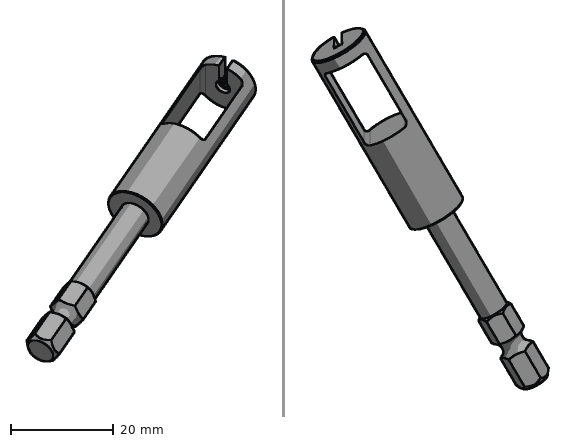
import cadquery as cq
import math

total_length = 80.0
head_length = 40.0
shank_length = 23.0
hex_length = total_length - head_length - shank_length
front_y = total_length / 2
back_y = -total_length / 2
head_back_y = front_y - head_length
hex_front_y = back_y + hex_length

head_diameter = 12.0
head_front_chamfer = 0.3
head_back_chamfer = 0.2
end_wall = 2.8
window_width = 9.4
window_length = 17.2
window_corner_radius = 0.8

slot_width = 1.8
recess_diameter = 3.0
recess_depth = 1.0
pin_hole_diameter = 1.9

shank_diameter = 6.0
hex_across_flats = 6.3
hex_corner_diameter = hex_across_flats / math.cos(math.pi / 6)
hex_front_chamfer_length = 0.6
hex_tip_diameter = 5.6
hex_tip_length = 1.1

groove_y = back_y + 9.3
groove_bottom_diameter = 4.6
groove_radius = 1.9


def cylinder(diameter, start_y, length):
    """Cylinder on the Y axis running from start_y toward +Y."""
    return cq.Workplane("XZ", origin=(0, start_y, 0)).circle(diameter / 2).extrude(-length)


def make_head():
    head = cylinder(head_diameter, head_back_y, head_length)
    head = head.faces(">Y").chamfer(head_front_chamfer).faces("<Y").chamfer(head_back_chamfer)
    window_center_y = front_y - end_wall - window_length / 2
    window = (
        cq.Workplane("XY", origin=(0, window_center_y, 0))
        .rect(window_width, window_length)
        .extrude(head_diameter / 2, both=True)
        .edges("|Z")
        .fillet(window_corner_radius)
    )
    return head.cut(window)


def make_keyhole():
    """Flat-bottomed slot open at the top, with a pin hole on the axis and a wider recess inside."""
    wall_inner_y = front_y - end_wall
    slot_floor_z = -slot_width / 2
    slot_height = head_diameter / 2 - slot_floor_z
    slot = cq.Workplane("XY", origin=(0, wall_inner_y, slot_floor_z)).box(
        slot_width, end_wall, slot_height, centered=(True, False, False)
    )
    pin_hole = cylinder(pin_hole_diameter, wall_inner_y, end_wall)
    recess = cylinder(recess_diameter, wall_inner_y, recess_depth)
    return slot.union(pin_hole).union(recess)


def make_hex_drive():
    hexagon = cq.Workplane("XZ", origin=(0, back_y, 0)).polygon(6, hex_corner_diameter).extrude(-hex_length)
    corner_radius = hex_corner_diameter / 2
    envelope = (
        cq.Workplane("XY")
        .polyline(
            [
                (0, back_y),
                (hex_tip_diameter / 2, back_y),
                (corner_radius, back_y + hex_tip_length),
                (corner_radius, hex_front_y - hex_front_chamfer_length),
                (shank_diameter / 2, hex_front_y),
                (0, hex_front_y),
            ]
        )
        .close()
        .revolve(360, (0, 0, 0), (0, 1, 0))
    )
    groove_center_x = groove_bottom_diameter / 2 + groove_radius
    groove = (
        cq.Workplane("XY")
        .center(groove_center_x, groove_y)
        .circle(groove_radius)
        .revolve(360, (-groove_center_x, 0, 0), (-groove_center_x, 1, 0))
    )
    return hexagon.intersect(envelope).cut(groove)


shank = cylinder(shank_diameter, hex_front_y, shank_length)
result = make_head().cut(make_keyhole()).union(shank).union(make_hex_drive())